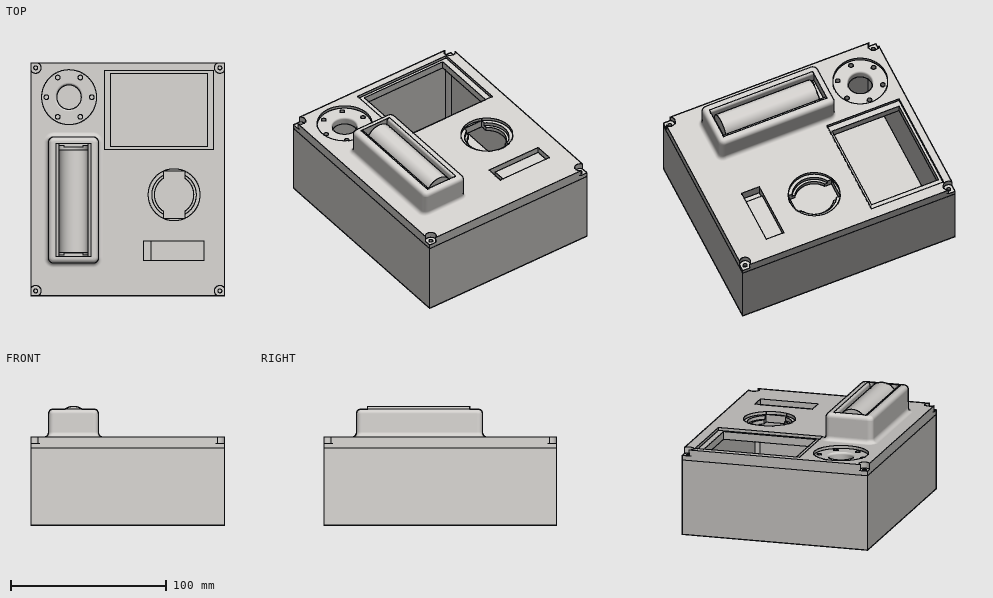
import cadquery as cq
import math

BOX_WIDTH = 125.0
BOX_LENGTH = 150.0
BOX_HEIGHT = 50.0
WALL = 5.0
POST_DIAMETER = 9.8

LID_THICKNESS = 7.0
LID_TOP = BOX_HEIGHT + LID_THICKNESS

SCREW_INSET = 3.2
SCREW_HOLE_DIAMETER = 2.5
SCREW_HOLE_DEPTH = 20.0
SCREW_HEAD_DIAMETER = 7.0
SCREW_HEAD_DEPTH = 4.0

BATTERY_DIAMETER = 18.6
BATTERY_LENGTH = 66.0
BATTERY_Y = -14.0
BATTERY_AXIS_Z = 67.5
HOLDER_X = -35.0
HOLDER_Y = -13.4
HOLDER_WIDTH = 22.5
HOLDER_LENGTH = 72.9
TROUGH_DIAMETER = 18.9
TROUGH_LENGTH = 70.6
CONTACT_WIDTH = 12.0
CONTACT_THICKNESS = 1.2
HOLDER_LIP = (HOLDER_WIDTH - TROUGH_DIAMETER) / 2
LIP_FLAT = 0.03
LIP_ROUND = HOLDER_LIP - LIP_FLAT

HOUSING_WIDTH = 32.2
HOUSING_LENGTH = 81.3
HOUSING_HEIGHT = 18.0
HOUSING_TOP = LID_TOP + HOUSING_HEIGHT
HOUSING_CORNER_RADIUS = 3.5
HOUSING_EDGE_RADIUS = 3.0

WINDOW_X = 20.1
WINDOW_Y = 44.7
WINDOW_WIDTH = 62.2
WINDOW_LENGTH = 47.2
WINDOW_REBATE_WIDTH = 70.4
WINDOW_REBATE_LENGTH = 50.8
WINDOW_REBATE_DEPTH = 2.0

FLANGE_X = -37.8
FLANGE_Y = 53.0
FLANGE_DIAMETER = 35.4
FLANGE_DEPTH = 2.0
FLANGE_BORE_DIAMETER = 15.8
FLANGE_BORE_ROUND = 1.42
FLANGE_HOLE_CIRCLE = 29.2
FLANGE_HOLE_DIAMETER = 3.0
FLANGE_HOLE_COUNT = 6

SOCKET_X = 29.8
SOCKET_Y = -9.9
SOCKET_STEPS = ((33.5, 2.0), (28.6, 4.4), (25.4, LID_THICKNESS))
NOTCH_WIDTH = 14.0
NOTCH_SPAN = 30.6

RECESS_X = 29.5
RECESS_Y = -46.0
RECESS_LENGTH = 38.8
RECESS_WIDTH = 12.5
RECESS_DEPTH = 4.0
SLIT_LENGTH = 4.8

SCREW_SPACING_X = BOX_WIDTH - 2 * SCREW_INSET
SCREW_SPACING_Y = BOX_LENGTH - 2 * SCREW_INSET

PICK_MARGIN = 1.5
PICK_HEIGHT = 0.2


def block(width, length, z_low, z_high, x=0, y=0):
    """Upright block centred on (x, y) between two heights."""
    return cq.Workplane("XY", origin=(x, y, z_low)).rect(width, length).extrude(z_high - z_low)


def disc(diameter, z_low, z_high, x=0, y=0):
    """Upright cylinder centred on (x, y) between two heights."""
    return cq.Workplane("XY", origin=(x, y, z_low)).circle(diameter / 2).extrude(z_high - z_low)


def corner_cylinders(diameter, z_low, z_high):
    """Four upright cylinders on the corner screw positions."""
    base = cq.Workplane("XY", origin=(0, 0, z_low))
    corners = base.rect(SCREW_SPACING_X, SCREW_SPACING_Y, forConstruction=True)
    return corners.vertices().circle(diameter / 2).extrude(z_high - z_low)


def cylinder_along_y(diameter, length, y):
    """Cylinder on the battery axis, centred on the given y."""
    start = cq.Workplane("XZ", origin=(HOLDER_X, y + length / 2, BATTERY_AXIS_Z))
    return start.circle(diameter / 2).extrude(length)


def edges_near(width, length, z):
    """Selector for edges centred close to a height, within a rectangle around the holder."""
    return cq.selectors.BoxSelector(
        (HOLDER_X - width / 2 - PICK_MARGIN, HOLDER_Y - length / 2 - PICK_MARGIN, z - PICK_HEIGHT),
        (HOLDER_X + width / 2 + PICK_MARGIN, HOLDER_Y + length / 2 + PICK_MARGIN, z + PICK_HEIGHT),
    )


def make_box():
    """Open-topped box with a screw post in each corner."""
    outside = block(BOX_WIDTH, BOX_LENGTH, 0, BOX_HEIGHT)
    cavity = block(BOX_WIDTH - 2 * WALL, BOX_LENGTH - 2 * WALL, WALL, BOX_HEIGHT)
    posts = corner_cylinders(POST_DIAMETER, 0, BOX_HEIGHT).intersect(outside)
    holes = corner_cylinders(SCREW_HOLE_DIAMETER, BOX_HEIGHT - SCREW_HOLE_DEPTH, BOX_HEIGHT)
    return outside.cut(cavity).union(posts).cut(holes)


def add_housing(lid):
    """Rounded battery housing with a concave foot and a pocket for the holder."""
    housing = block(HOUSING_WIDTH, HOUSING_LENGTH, LID_TOP, HOUSING_TOP, HOLDER_X, HOLDER_Y)
    housing = housing.edges("|Z").fillet(HOUSING_CORNER_RADIUS)
    housing = housing.faces(">Z").edges().fillet(HOUSING_EDGE_RADIUS)
    foot_edges = edges_near(HOUSING_WIDTH, HOUSING_LENGTH, LID_TOP)
    lid = lid.union(housing).edges(foot_edges).fillet(HOUSING_EDGE_RADIUS)
    return lid.cut(block(HOLDER_WIDTH, HOLDER_LENGTH, LID_TOP, HOUSING_TOP, HOLDER_X, HOLDER_Y))


def cut_window(lid):
    """Display opening with a shallow rebate around it."""
    rebate_floor = LID_TOP - WINDOW_REBATE_DEPTH
    rebate = block(WINDOW_REBATE_WIDTH, WINDOW_REBATE_LENGTH, rebate_floor, LID_TOP, WINDOW_X, WINDOW_Y)
    opening = block(WINDOW_WIDTH, WINDOW_LENGTH, BOX_HEIGHT, LID_TOP, WINDOW_X, WINDOW_Y)
    return lid.cut(rebate).cut(opening)


def cut_flange_seat(lid):
    """Round seat with a rounded bore and a circle of small holes."""
    seat_floor = LID_TOP - FLANGE_DEPTH
    seat = disc(FLANGE_DIAMETER, seat_floor, LID_TOP, FLANGE_X, FLANGE_Y)
    bore_radius = FLANGE_BORE_DIAMETER / 2
    flare_radius = bore_radius + FLANGE_BORE_ROUND
    flare_start = seat_floor - FLANGE_BORE_ROUND
    arc_offset = FLANGE_BORE_ROUND * math.sqrt(0.5)
    bore = (
        cq.Workplane("XZ", origin=(FLANGE_X, FLANGE_Y, 0))
        .moveTo(0, BOX_HEIGHT)
        .lineTo(bore_radius, BOX_HEIGHT)
        .lineTo(bore_radius, flare_start)
        .threePointArc((flare_radius - arc_offset, flare_start + arc_offset), (flare_radius, seat_floor))
        .lineTo(0, seat_floor)
        .close()
        .revolve(360, (0, 0), (0, 1))
    )
    holes = (
        cq.Workplane("XY", origin=(FLANGE_X, FLANGE_Y, BOX_HEIGHT))
        .polarArray(FLANGE_HOLE_CIRCLE / 2, 0, 360, FLANGE_HOLE_COUNT)
        .circle(FLANGE_HOLE_DIAMETER / 2)
        .extrude(LID_THICKNESS)
    )
    return lid.cut(seat).cut(bore).cut(holes)


def cut_socket(lid):
    """Stepped round opening with a notch on its +Y and -Y sides."""
    for diameter, depth in SOCKET_STEPS:
        lid = lid.cut(disc(diameter, LID_TOP - depth, LID_TOP, SOCKET_X, SOCKET_Y))
    return lid.cut(block(NOTCH_WIDTH, NOTCH_SPAN, BOX_HEIGHT, LID_TOP, SOCKET_X, SOCKET_Y))


def cut_recess(lid):
    """Rectangular recess whose -X end opens into a slit through the lid."""
    recess = block(RECESS_LENGTH, RECESS_WIDTH, LID_TOP - RECESS_DEPTH, LID_TOP, RECESS_X, RECESS_Y)
    slit_x = RECESS_X - (RECESS_LENGTH - SLIT_LENGTH) / 2
    slit = block(SLIT_LENGTH, RECESS_WIDTH, BOX_HEIGHT, LID_TOP, slit_x, RECESS_Y)
    return lid.cut(recess).cut(slit)


def cut_lid_screws(lid):
    """Corner screw holes with head recesses that break out of the lid corners."""
    head_floor = LID_TOP - SCREW_HEAD_DEPTH
    holes = corner_cylinders(SCREW_HOLE_DIAMETER, BOX_HEIGHT, LID_TOP)
    heads = corner_cylinders(SCREW_HEAD_DIAMETER, head_floor, LID_TOP)
    lid = lid.cut(holes).cut(heads)
    for side_x in (-1, 1):
        for side_y in (-1, 1):
            corner_x = side_x * (BOX_WIDTH - SCREW_INSET) / 2
            corner_y = side_y * (BOX_LENGTH - SCREW_INSET) / 2
            lid = lid.cut(block(SCREW_INSET, SCREW_INSET, head_floor, LID_TOP, corner_x, corner_y))
    return lid


def make_lid():
    """Lid plate with the battery housing and all its openings."""
    lid = block(BOX_WIDTH, BOX_LENGTH, BOX_HEIGHT, LID_TOP)
    lid = add_housing(lid)
    lid = cut_window(lid)
    lid = cut_flange_seat(lid)
    lid = cut_socket(lid)
    lid = cut_recess(lid)
    return cut_lid_screws(lid)


def make_holder():
    """Battery holder: a trough with rounded lips, low ends and a contact at each end."""
    holder = block(HOLDER_WIDTH, HOLDER_LENGTH, LID_TOP, HOUSING_TOP, HOLDER_X, HOLDER_Y)
    slot = block(TROUGH_DIAMETER, HOLDER_LENGTH, BATTERY_AXIS_Z, HOUSING_TOP, HOLDER_X, HOLDER_Y)
    holder = holder.cut(slot)
    inner_lip_edges = cq.selectors.BoxSelector(
        (HOLDER_X - TROUGH_DIAMETER / 2 - PICK_HEIGHT, HOLDER_Y - PICK_MARGIN, HOUSING_TOP - PICK_HEIGHT),
        (HOLDER_X + TROUGH_DIAMETER / 2 + PICK_HEIGHT, HOLDER_Y + PICK_MARGIN, HOUSING_TOP + PICK_HEIGHT),
    )
    holder = holder.edges(inner_lip_edges).fillet(LIP_ROUND)
    holder = holder.cut(cylinder_along_y(TROUGH_DIAMETER, TROUGH_LENGTH, HOLDER_Y))
    for side in (-1, 1):
        contact_y = HOLDER_Y + side * (TROUGH_LENGTH - CONTACT_THICKNESS) / 2
        contact = block(CONTACT_WIDTH, CONTACT_THICKNESS, LID_TOP, BATTERY_AXIS_Z, HOLDER_X, contact_y)
        holder = holder.union(contact)
    return holder


def make_battery():
    """Plain cylindrical cell."""
    return cylinder_along_y(BATTERY_DIAMETER, BATTERY_LENGTH, BATTERY_Y)


box = make_box()
lid = make_lid()
holder = make_holder()
battery = make_battery()

result = cq.Compound.makeCompound([body.solids().val() for body in (box, lid, holder, battery)])